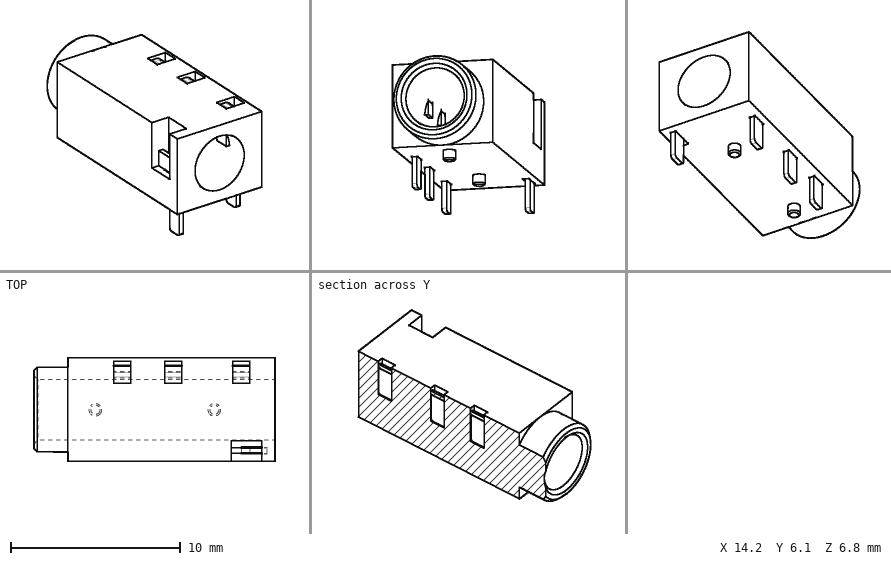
import cadquery as cq


total_length = 14.2
nose_length = 2.0
body_width = 6.1
body_height = 5.0
axis_height = body_height / 2
bore_diameter = 3.55
mouth_chamfer = 0.23
lip_chamfer = 0.2

peg_diameter = 0.74
peg_height = 0.6
peg_chamfer = 0.1
peg_offsets = [1.6, 8.6]

metal_thickness = 0.3
pin_width = 1.0
pin_length = 1.8
pin_corner_radius = 0.2
slot_clearance = 0.04
leg_outer_face = 2.55

spring_offsets = [3.2, 6.2, 10.2]
hook_depth = 1.0
hook_bend_radius = 0.37
hook_top_gap = 0.2
window_outer_wall = 0.2
window_floor = axis_height

pocket_offset = 9.61
pocket_length = 1.8
pocket_depth = 1.2
pocket_floor = body_height - 3.0
plate_top = body_height - 2.0
switch_pin_offset = 11.2
switch_slot_extension = 0.5

leg_inner_face = leg_outer_face - metal_thickness
hook_inner_face = leg_outer_face - hook_depth
hook_top = body_height - hook_top_gap
window_outer_face = body_width / 2 - window_outer_wall


def block(x_range, y_range, z_range):
    """Axis-aligned box between the given limits."""
    size = [high - low for low, high in (x_range, y_range, z_range)]
    corner = (x_range[0], y_range[0], z_range[0])
    return cq.Workplane("XY").box(*size, centered=False).translate(corner)


def x_span(offset):
    """X limits of a pin centred at an offset behind the shoulder."""
    centre = nose_length + offset
    return (centre - pin_width / 2, centre + pin_width / 2)


def pin_leg(offset, y_range, top):
    """Straight leg from inside the housing down to a rounded solder tip."""
    leg = block(x_span(offset), y_range, (-pin_length, top))
    return leg.edges("|Y and <Z").fillet(pin_corner_radius)


def axial_cylinder(diameter, length):
    """Cylinder on the jack axis, starting at the mouth."""
    return (
        cq.Workplane("YZ")
        .center(0, axis_height)
        .circle(diameter / 2)
        .extrude(length)
    )


def make_peg(offset):
    """Round locating peg with a chamfered tip."""
    return (
        cq.Workplane("XY")
        .center(nose_length + offset, 0)
        .circle(peg_diameter / 2)
        .extrude(-peg_height)
        .faces("<Z")
        .chamfer(peg_chamfer)
    )


def make_spring_contact(offset):
    """Solder leg that folds over at the top into a short leg reaching into the bore."""
    hook = block(
        x_span(offset),
        (hook_inner_face, leg_outer_face),
        (window_floor, hook_top),
    ).edges("|X and >Z").fillet(hook_bend_radius)
    hook_gap = block(
        x_span(offset),
        (hook_inner_face + metal_thickness, leg_inner_face),
        (window_floor, hook_top - metal_thickness),
    ).edges("|X and >Z").fillet(hook_bend_radius - metal_thickness)
    leg = pin_leg(offset, (leg_inner_face, leg_outer_face), window_floor)
    return hook.cut(hook_gap).union(leg)


def make_switch_contact():
    """Flat plate standing on the pocket floor, with a solder leg offset towards the rear."""
    plate_start = nose_length + pocket_offset
    y_range = (-leg_outer_face, -leg_inner_face)
    plate = block((plate_start, plate_start + pocket_length), y_range, (pocket_floor, plate_top))
    return plate.union(pin_leg(switch_pin_offset, y_range, pocket_floor))


def make_spring_window(offset):
    """Top window around a spring contact, with the slot for its leg."""
    window = block(
        x_span(offset),
        (hook_inner_face, window_outer_face),
        (window_floor, body_height),
    )
    slot = block(
        x_span(offset),
        (leg_inner_face - slot_clearance, leg_outer_face + slot_clearance),
        (0, window_floor),
    )
    return window.union(slot)


def make_switch_pocket():
    """Corner pocket open to the top and the side, with the slot for the switch leg."""
    pocket_start = nose_length + pocket_offset
    pocket = block(
        (pocket_start, pocket_start + pocket_length),
        (-body_width / 2, pocket_depth - body_width / 2),
        (pocket_floor, body_height),
    )
    leg_start, leg_end = x_span(switch_pin_offset)
    slot = block(
        (leg_start - switch_slot_extension, leg_end),
        (-leg_outer_face - slot_clearance, -leg_inner_face + slot_clearance),
        (0, pocket_floor),
    )
    return pocket.union(slot)


def make_housing():
    """Rectangular body with a round nose, through bore, pegs and contact openings."""
    nose = axial_cylinder(body_height, nose_length).faces("<X").chamfer(lip_chamfer)
    body = block(
        (nose_length, total_length),
        (-body_width / 2, body_width / 2),
        (0, body_height),
    )
    housing = body.union(nose).cut(axial_cylinder(bore_diameter, total_length))
    bore_mouth = housing.faces("<X").edges(cq.selectors.RadiusNthSelector(0))
    housing = bore_mouth.chamfer(mouth_chamfer)
    for offset in peg_offsets:
        housing = housing.union(make_peg(offset))
    for offset in spring_offsets:
        housing = housing.cut(make_spring_window(offset))
    return housing.cut(make_switch_pocket())


housing = make_housing()
spring_contacts = [make_spring_contact(offset) for offset in spring_offsets]
switch_contact = make_switch_contact()

result = cq.Compound.makeCompound(
    [housing.val(), *[contact.val() for contact in spring_contacts], switch_contact.val()]
)